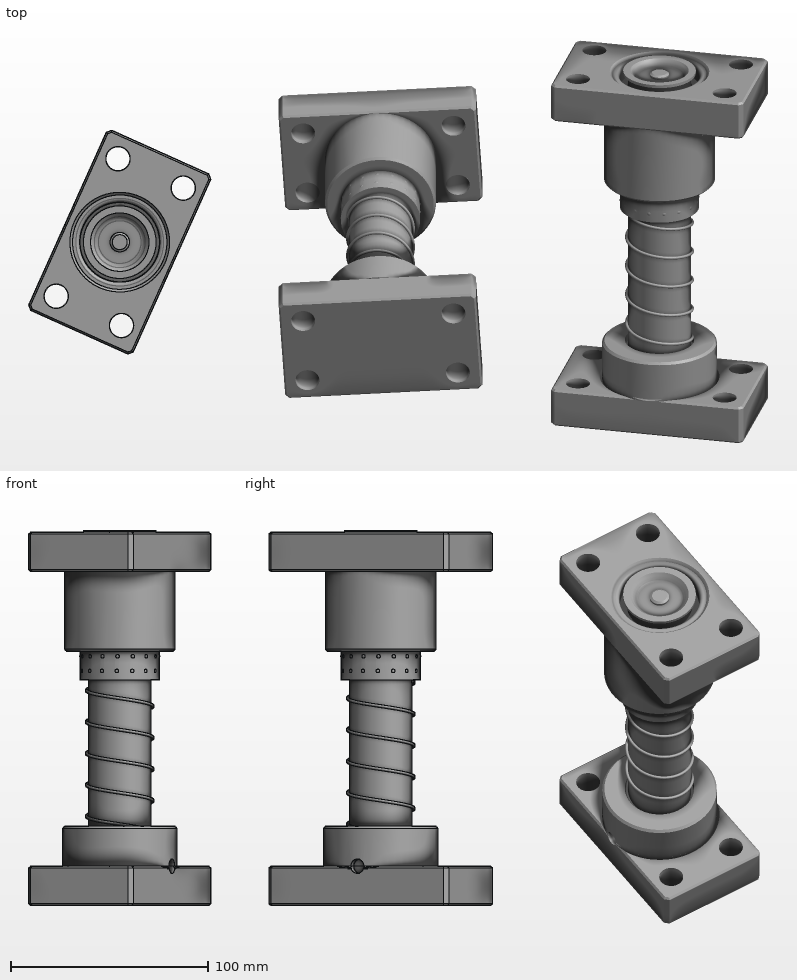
import cadquery as cq
import math

plate_length = 100.0
plate_width = 58.0
plate_thickness = 20.0
plate_turn = -24.2
plate_corner_chamfer = 2.0
plate_edge_chamfer = 1.0
bolt_spacing_long = 76.3
bolt_spacing_short = 36.2
bolt_hole_radius = 6.0

overall_height = 189.8
head_plate_top = 189.0
head_plate_bottom = head_plate_top - plate_thickness
head_bore_chamfer = 1.3
bush_top = head_plate_top - head_bore_chamfer
bush_bottom = 128.7
cage_top = 180.8
cage_bottom = 114.2
collar_top = 40.2
post_top = 185.8

post_radius = 16.0
cage_radius = 20.1
cage_bore_radius = 16.5
bush_bore_radius = 20.3
bush_neck_radius = 24.0
bush_body_radius = 28.0
collar_radius = 29.0

bush_mouth_fillet = 1.9
bush_foot_chamfer = 1.1
collar_top_chamfer = 1.1
collar_relief_radius = 30.4
collar_relief_depth = 1.5

joint_hole_radius = 3.6
joint_hole_depth = 3.8

ball_radius = (bush_bore_radius - post_radius) / 2
balls_per_row = 16
ball_row_heights = [126.2, 118.8]
ball_row_angles = [-3.2, -4.2]

wire_radius = 0.8
coil_radius = post_radius + wire_radius
coil_pitch = 16.0
coil_crossing_height = 109.0
spring_seat_clearance = 0.1
spring_seat_radius = coil_radius + wire_radius + spring_seat_clearance
spring_seat_depth = 3.8

disc_radius = 18.5
disc_rim_thickness = 1.5
dish_top_radius = 14.8
dish_wall_bottom_radius = 12.9
dish_wall_depth = 1.9
dish_floor_radius = 10.8
dish_depth = 3.0
screw_head_radius = 5.0
screw_head_height = 1.9
screw_head_chamfer = 1.1
screw_head_chamfer_height = 0.8


def cylinder(radius, bottom, top):
    """Upright cylinder on the Z axis between two heights."""
    return cq.Workplane("XY").workplane(offset=bottom).circle(radius).extrude(top - bottom)


def turned(profile):
    """Solid of revolution about Z from (radius, height) points."""
    return cq.Workplane("XZ").polyline(profile).close().revolve(360, (0, 0, 0), (0, 1, 0))


def mounting_plate(bottom):
    """Rectangular plate with four bolt holes, turned about Z."""
    plate = (
        cq.Workplane("XY")
        .workplane(offset=bottom)
        .rect(plate_width, plate_length)
        .extrude(plate_thickness)
        .edges("|Z").chamfer(plate_corner_chamfer)
        .faces("<Z or >Z").edges().chamfer(plate_edge_chamfer)
        .faces(">Z").workplane(origin=(0, 0, 0))
        .rect(bolt_spacing_short, bolt_spacing_long, forConstruction=True)
        .vertices()
        .hole(2 * bolt_hole_radius)
    )
    return plate.rotate((0, 0, 0), (0, 0, 1), plate_turn)


def joint_hole():
    """Hole drilled inward at the middle of a long plate side, centred on the plate top."""
    drill = (
        cq.Workplane("YZ")
        .workplane(offset=plate_width / 2 - joint_hole_depth)
        .center(0, plate_thickness)
        .circle(joint_hole_radius)
        .extrude(2 * joint_hole_depth)
    )
    return drill.rotate((0, 0, 0), (0, 0, 1), plate_turn)


def make_head_plate():
    bore = cylinder(bush_neck_radius, head_plate_bottom, head_plate_top)
    mouth = turned([
        (0, bush_top),
        (bush_neck_radius, bush_top),
        (bush_neck_radius + head_bore_chamfer, head_plate_top),
        (0, head_plate_top),
    ])
    return mounting_plate(head_plate_bottom).cut(bore).cut(mouth)


def make_bush():
    body = cylinder(bush_body_radius, bush_bottom, head_plate_bottom)
    body = body.faces("<Z").edges().chamfer(bush_foot_chamfer)
    bush = body.union(cylinder(bush_neck_radius, head_plate_bottom, bush_top))
    bush = bush.cut(cylinder(bush_bore_radius, bush_bottom, bush_top))
    mouth_edge = cq.selectors.RadiusNthSelector(0)
    return bush.faces(">Z").edges(mouth_edge).fillet(bush_mouth_fillet)


def make_cage():
    cage = cylinder(cage_radius, cage_bottom, cage_top)
    cage = cage.cut(cylinder(cage_bore_radius, cage_bottom, cage_top))
    ball_circle_radius = bush_bore_radius - ball_radius
    for height, first_angle in zip(ball_row_heights, ball_row_angles):
        for i in range(balls_per_row):
            angle = math.radians(first_angle + i * 360 / balls_per_row)
            center = (ball_circle_radius * math.cos(angle), ball_circle_radius * math.sin(angle), height)
            cage = cage.union(cq.Workplane("XY").sphere(ball_radius).translate(center))
    return cage


def make_post():
    return cylinder(post_radius, 0, post_top)


def make_base_plate():
    plate = mounting_plate(0)
    relief = turned([
        (collar_radius, plate_thickness),
        (collar_radius, plate_thickness - collar_relief_depth),
        (collar_relief_radius, plate_thickness),
    ])
    return plate.cut(cylinder(post_radius, 0, plate_thickness)).cut(relief).cut(joint_hole())


def make_collar():
    collar = cylinder(collar_radius, plate_thickness, collar_top)
    collar = collar.faces(">Z").edges().chamfer(collar_top_chamfer)
    bore = cylinder(post_radius, plate_thickness, collar_top)
    spring_seat = cylinder(spring_seat_radius, collar_top - spring_seat_depth, collar_top)
    return collar.cut(bore).cut(spring_seat).cut(joint_hole())


def make_spring():
    """Left-hand coil from the seat in the collar up to the cage."""
    start_height = collar_top - spring_seat_depth + wire_radius
    end_height = cage_bottom - wire_radius
    start_angle = 180 + 360 * (coil_crossing_height - start_height) / coil_pitch
    path = cq.Wire.makeHelix(coil_pitch, end_height - start_height, coil_radius, lefthand=True)
    wire = (
        cq.Workplane("XZ")
        .center(coil_radius, 0)
        .circle(wire_radius)
        .sweep(cq.Workplane(obj=path), isFrenet=True)
    )
    return wire.rotate((0, 0, 0), (0, 0, 1), start_angle).translate((0, 0, start_height))


def make_retainer_disc():
    """Dished disc on the post end; its rim stands out over the cage."""
    disc = cylinder(disc_radius, overall_height - disc_rim_thickness, overall_height)
    disc = disc.union(cylinder(post_radius, post_top, overall_height))
    wall_bottom = overall_height - dish_wall_depth
    floor = overall_height - dish_depth
    dish = (
        cq.Workplane("XZ")
        .moveTo(0, overall_height)
        .lineTo(dish_top_radius, overall_height)
        .lineTo(dish_wall_bottom_radius, wall_bottom)
        .spline([(dish_floor_radius, floor)], tangents=[(-1, -1), (-1, 0)], includeCurrent=True)
        .lineTo(0, floor)
        .close()
        .revolve(360, (0, 0, 0), (0, 1, 0))
    )
    return disc.cut(dish)


def make_screw():
    seat = overall_height - dish_depth
    top = seat + screw_head_height
    return turned([
        (0, seat),
        (screw_head_radius, seat),
        (screw_head_radius, top - screw_head_chamfer_height),
        (screw_head_radius - screw_head_chamfer, top),
        (0, top),
    ])


head_plate = make_head_plate()
bush = make_bush()
cage = make_cage()
post = make_post()
base_plate = make_base_plate()
collar = make_collar()
spring = make_spring()
retainer_disc = make_retainer_disc()
screw = make_screw()

result = cq.Compound.makeCompound([
    head_plate.val(),
    bush.val(),
    cage.val(),
    post.val(),
    base_plate.val(),
    collar.val(),
    spring.val(),
    retainer_disc.val(),
    screw.val(),
])